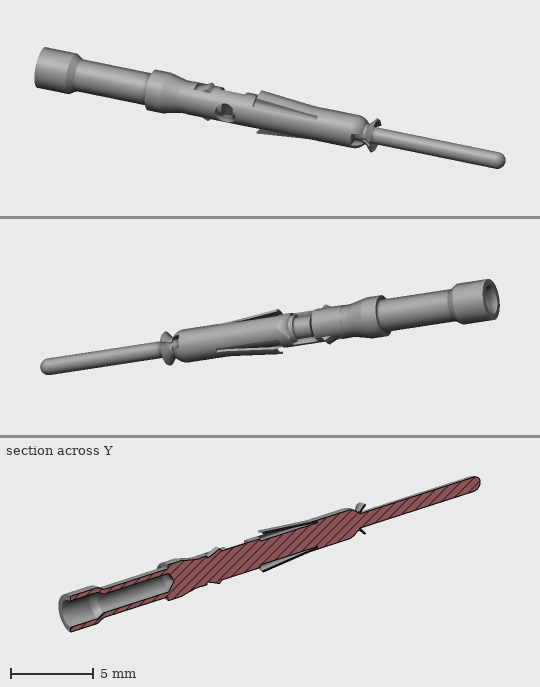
import cadquery as cq
import math

total_length = 30.0

mouth_radius = 1.25
mouth_end = 2.0
tube_start = 2.45
tube_radius = 1.0
collar_start = 7.15
collar_end = 8.1
collar_cone_end = 9.15
neck_end = 9.63

bore_mouth_radius = 0.9
bore_radius = 0.63
bore_end = 7.2
bore_tip_angle = 118.0

sleeve_radius = 1.02
wall = 0.18
core_radius = sleeve_radius - wall
sleeve_end = 20.37
nose_end = 21.0
nose_radius = 0.65
nose_bulge = 0.1

flare_start = 21.18
flare_rim = 21.55
flare_end = 21.63
flare_radius = 1.05
flare_lip_radius = 1.0
nose_slit_width = 0.85
petal_gap = 0.25

pin_radius = 0.5
pin_round_start = total_length - pin_radius

tine_tip = 14.1
tine_hinge = 17.58
tine_bend = 0.33
tine_width = 0.93
tine_thickness = 0.12
tine_span = 2.8
tine_height = tine_span / 2
tine_slot_start = 13.9
tine_slot_end = 18.05
tine_slot_width = 1.38

lance_start = 10.02
lance_fold = 10.62
lance_peak = 10.92
lance_end = 11.1
lance_width = 0.8
lance_fold_radius = 1.08
lance_peak_radius = 1.23

notch_start = 11.52
notch_end = 13.15
notch_floor = 0.05
notch_core_start = 11.8
notch_core_radius = 0.7
notch_rib_start = 12.87
notch_rib_radius = 0.87
scoop_start_y = 0.6
scoop_end = 13.83
scoop_bulge = 0.1

window_x = 12.25
window_radius = 0.65
pocket_length = 0.75
pocket_height = 1.05
pocket_corner = 0.25
trough_axis_y = -0.57


def rod(start, end, radius):
    """Solid cylinder on the X axis."""
    return cq.Workplane("YZ").workplane(offset=start).circle(radius).extrude(end - start)


def block(start, end, y_min, y_max, z_min, z_max):
    """Box given by its limits along X, Y and Z."""
    size = (end - start, y_max - y_min, z_max - z_min)
    return cq.Workplane("XY").box(*size, centered=False).translate((start, y_min, z_min))


def turn(outline):
    """Revolve a closed outline around the X axis."""
    return outline.close().revolve(360, (0, 0, 0), (1, 0, 0))


def both_sides(solid):
    """The solid together with its half-turn copy around the X axis."""
    return solid.union(solid.rotate((0, 0, 0), (1, 0, 0), 180))


def turned_body():
    """Solid of revolution with every diameter from the mouth to the pin tip."""
    nose_middle = ((sleeve_end + nose_end) / 2, (sleeve_radius + nose_radius) / 2 + nose_bulge)
    dome_middle = pin_radius * math.sqrt(0.5)
    outline = (
        cq.Workplane("XY")
        .moveTo(0, 0)
        .lineTo(0, mouth_radius)
        .lineTo(mouth_end, mouth_radius)
        .lineTo(tube_start, tube_radius)
        .lineTo(collar_start, tube_radius)
        .lineTo(collar_start, mouth_radius)
        .lineTo(collar_end, mouth_radius)
        .lineTo(collar_cone_end, sleeve_radius)
        .lineTo(neck_end, tube_radius)
        .lineTo(neck_end, sleeve_radius)
        .lineTo(sleeve_end, sleeve_radius)
        .threePointArc(nose_middle, (nose_end, nose_radius))
        .lineTo(flare_start, nose_radius)
        .lineTo(flare_rim, flare_radius)
        .lineTo(flare_end, flare_lip_radius)
        .lineTo(flare_start, pin_radius)
        .lineTo(pin_round_start, pin_radius)
        .threePointArc((pin_round_start + dome_middle, dome_middle), (total_length, 0))
    )
    return turn(outline)


def crimp_bore():
    """Stepped blind bore with a drill-point bottom."""
    tip_depth = bore_radius / math.tan(math.radians(bore_tip_angle / 2))
    outline = (
        cq.Workplane("XY")
        .moveTo(0, 0)
        .lineTo(0, bore_mouth_radius)
        .lineTo(mouth_end, bore_mouth_radius)
        .lineTo(tube_start, bore_radius)
        .lineTo(bore_end, bore_radius)
        .lineTo(bore_end + tip_depth, 0)
    )
    return turn(outline)


def nose_slits():
    """Slits on +Y and -Y that split the nose and the flare into two petals."""
    reach = 2 * sleeve_radius
    wide = block(sleeve_end, nose_end, -reach, reach, -nose_slit_width / 2, nose_slit_width / 2)
    narrow = block(nose_end, flare_end, -reach, reach, -petal_gap / 2, petal_gap / 2)
    return wide.union(narrow).cut(rod(sleeve_end, flare_end, pin_radius))


def wall_slots(start, end, width):
    """Slots through the sleeve wall on +Z and -Z, down to the core."""
    slot = block(start, end, -width / 2, width / 2, 0, 2 * sleeve_radius)
    return both_sides(slot.cut(rod(start, end, core_radius)))


def tines():
    """Strips of the sleeve wall left on at their root and bent outward behind it."""
    rise = tine_height - sleeve_radius
    angle = math.atan2(rise, tine_hinge - tine_tip)
    bend_end = (tine_hinge - tine_bend * math.cos(angle), sleeve_radius + tine_bend * math.sin(angle))
    path = (
        cq.Workplane("XZ")
        .moveTo(tine_slot_end, sleeve_radius)
        .lineTo(tine_hinge + tine_bend, sleeve_radius)
        .tangentArcPoint(bend_end, relative=False)
        .lineTo(tine_tip, tine_height)
    )
    half = tine_width / 2
    outer_edge = math.sqrt(sleeve_radius**2 - half**2)
    inner_radius = sleeve_radius - tine_thickness
    inner_edge = math.sqrt(inner_radius**2 - half**2)
    section = (
        cq.Workplane("YZ").workplane(offset=tine_slot_end)
        .moveTo(-half, outer_edge)
        .threePointArc((0, sleeve_radius), (half, outer_edge))
        .lineTo(half, inner_edge)
        .threePointArc((0, inner_radius), (-half, inner_edge))
        .close()
    )
    return both_sides(section.sweep(path))


def lances():
    """Curved tongues that rise out of their slots to a peak above the sleeve."""
    half = lance_width / 2
    outline = (
        cq.Workplane("XY")
        .moveTo(lance_start, 0)
        .lineTo(lance_start, core_radius)
        .lineTo(lance_fold, lance_fold_radius)
        .lineTo(lance_peak, lance_peak_radius)
        .lineTo(lance_end, sleeve_radius)
        .lineTo(lance_end, 0)
    )
    sector = block(lance_start, lance_end, -half, half, core_radius / 2, 2 * sleeve_radius)
    return both_sides(turn(outline).intersect(sector))


def side_notch():
    """Notch on +Y that leaves a core and a rib, with a scooped run-out toward the pin."""
    reach = 2 * sleeve_radius
    scoop_middle = ((notch_end + scoop_end) / 2, (scoop_start_y + sleeve_radius) / 2 + scoop_bulge)
    notch = (
        cq.Workplane("XY")
        .moveTo(notch_start, reach)
        .lineTo(notch_start, notch_floor)
        .lineTo(notch_end, notch_floor)
        .lineTo(notch_end, scoop_start_y)
        .threePointArc(scoop_middle, (scoop_end, sleeve_radius))
        .lineTo(scoop_end, reach)
        .close()
        .extrude(reach, both=True)
    )
    core = rod(notch_core_start, notch_rib_start, notch_core_radius)
    rib = rod(notch_rib_start, notch_end, notch_rib_radius)
    return notch.cut(core).cut(rib)


def side_window():
    """Round window in the sleeve, with an oblong pocket that ends in a trough in the core."""
    reach = 2 * sleeve_radius
    window = (
        cq.Workplane("XZ").center(window_x, 0).circle(window_radius).extrude(reach)
        .cut(rod(window_x - window_radius, window_x + window_radius, notch_core_radius))
    )
    trough_radius = pocket_length / 2
    left = window_x - trough_radius
    right = window_x + trough_radius
    pocket = (
        cq.Workplane("XY")
        .moveTo(left, -reach)
        .lineTo(left, trough_axis_y)
        .threePointArc((window_x, trough_axis_y + trough_radius), (right, trough_axis_y))
        .lineTo(right, -reach)
        .close()
        .extrude(pocket_height / 2, both=True)
    )
    rounded_mouth = (
        cq.Workplane("XZ").center(window_x, 0)
        .rect(pocket_length, pocket_height)
        .extrude(reach)
        .edges("|Y").fillet(pocket_corner)
    )
    return window.union(pocket.intersect(rounded_mouth))


tine_slots = wall_slots(tine_slot_start, tine_slot_end, tine_slot_width)
lance_slots = wall_slots(lance_start, lance_end, lance_width)

result = turned_body()
for pocket in (crimp_bore(), nose_slits(), tine_slots, lance_slots, side_notch(), side_window()):
    result = result.cut(pocket)
result = result.union(lances()).union(tines())